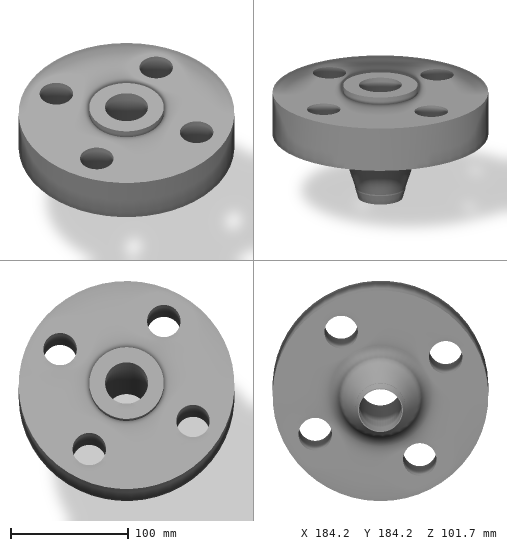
import cadquery as cq

flange_diameter = 184.2
flange_thickness = 38.3

face_diameter = 63.5
face_height = 6.5

neck_length = 56.9
neck_top_radius = 37.2
neck_end_radius = 21.5
land_length = 1.1
bevel_height = 8.5
tip_radius = 19.2
root_fillet = 9.2

bore_diameter = 36.6
bolt_circle_diameter = 130.0
bolt_hole_diameter = 28.5
bolt_count = 4


def make_disc():
    disc = cq.Workplane("XY").circle(flange_diameter / 2).extrude(flange_thickness)
    return disc.faces(">Z").workplane().circle(face_diameter / 2).extrude(face_height)


def make_neck():
    """Taper, short straight land and weld bevel, revolved about Z."""
    bevel_top = bevel_height - neck_length
    land_top = bevel_top + land_length
    return (
        cq.Workplane("XZ")
        .polyline([
            (0, 0),
            (neck_top_radius, 0),
            (neck_end_radius, land_top),
            (neck_end_radius, bevel_top),
            (tip_radius, -neck_length),
            (0, -neck_length),
        ])
        .close()
        .revolve(360, (0, 0), (0, 1))
    )


def cut_openings(body):
    through_all = neck_length + flange_thickness + face_height
    base = cq.Workplane("XY").workplane(offset=-neck_length)
    bore = base.circle(bore_diameter / 2).extrude(through_all)
    bolt_holes = (
        base.polarArray(bolt_circle_diameter / 2, 0, 360, bolt_count)
        .circle(bolt_hole_diameter / 2)
        .extrude(through_all)
    )
    return body.cut(bore).cut(bolt_holes)


blank = make_disc().union(make_neck())
select_margin = 0.2
select_reach = neck_top_radius + select_margin
neck_root = cq.selectors.BoxSelector(
    (-select_reach, -select_reach, -select_margin),
    (select_reach, select_reach, select_margin),
    boundingbox=True,
)
blank = blank.edges(neck_root).fillet(root_fillet)
result = cut_openings(blank)